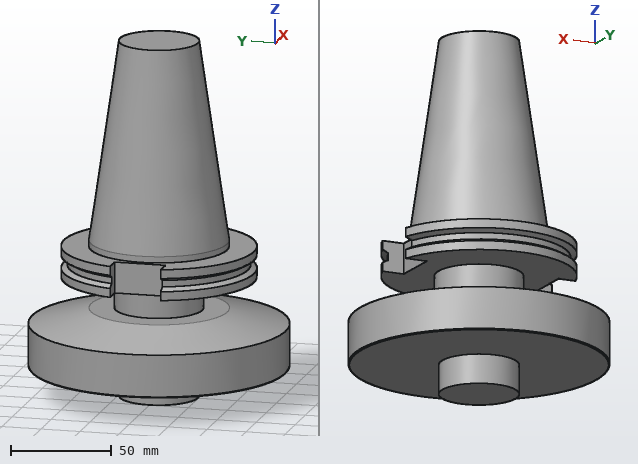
import cadquery as cq

total_height = 181.8
ring_bottom = 15.0
ring_rim_top = 37.0
ring_top = 45.0
flange_bottom = 60.9
flange_top = 76.7
taper_bottom = 80.0

pilot_diameter = 40.0
shank_diameter = 44.3
flange_diameter = 97.5
taper_large_diameter = 69.8
taper_ratio = 7 / 24
taper_small_diameter = taper_large_diameter - taper_ratio * (total_height - taper_bottom)

groove_floor_diameter = 91.2
groove_mouth_width = 6.7
groove_floor_width = 3.3
groove_height = (flange_bottom + flange_top) / 2

slot_width = 26.0
left_slot_floor_distance = 37.6
right_slot_floor_distance = 35.3

ring_diameter = 130.0
ring_top_diameter = 69.8
ring_edge_chamfer = 0.5


def revolve_about_z(profile):
    """Revolve a closed (radius, height) outline around the Z axis."""
    return cq.Workplane("XZ").polyline(profile).close().revolve(360, (0, 0, 0), (0, 1, 0))


def make_drive_slot(side, floor_distance):
    """Cutting block for the drive slot on the +X (1) or -X (-1) side."""
    slot_length = flange_diameter / 2
    return cq.Workplane("XY").box(
        slot_length, slot_width, flange_top - flange_bottom, centered=(True, True, False)
    ).translate((side * (floor_distance + slot_length / 2), 0, flange_bottom))


def make_arbor():
    """Pilot, shank, grooved flange and steep taper in one piece."""
    pilot_radius = pilot_diameter / 2
    shank_radius = shank_diameter / 2
    flange_radius = flange_diameter / 2
    groove_radius = groove_floor_diameter / 2
    taper_radius = taper_large_diameter / 2
    arbor = revolve_about_z([
        (0, 0),
        (pilot_radius, 0),
        (pilot_radius, ring_top),
        (shank_radius, ring_top),
        (shank_radius, flange_bottom),
        (flange_radius, flange_bottom),
        (flange_radius, groove_height - groove_mouth_width / 2),
        (groove_radius, groove_height - groove_floor_width / 2),
        (groove_radius, groove_height + groove_floor_width / 2),
        (flange_radius, groove_height + groove_mouth_width / 2),
        (flange_radius, flange_top),
        (taper_radius, flange_top),
        (taper_radius, taper_bottom),
        (taper_small_diameter / 2, total_height),
        (0, total_height),
    ])
    for side, floor_distance in ((-1, left_slot_floor_distance), (1, right_slot_floor_distance)):
        arbor = arbor.cut(make_drive_slot(side, floor_distance))
    return arbor


def make_cutter_ring():
    """Ring with a conical top, bored to fit the pilot and seated against the shank."""
    bore_radius = pilot_diameter / 2
    ring_radius = ring_diameter / 2
    return revolve_about_z([
        (bore_radius, ring_bottom),
        (ring_radius - ring_edge_chamfer, ring_bottom),
        (ring_radius, ring_bottom + ring_edge_chamfer),
        (ring_radius, ring_rim_top),
        (ring_top_diameter / 2, ring_top),
        (bore_radius, ring_top),
    ])


arbor = make_arbor()
cutter_ring = make_cutter_ring()

result = cq.Compound.makeCompound([arbor.val(), cutter_ring.val()])